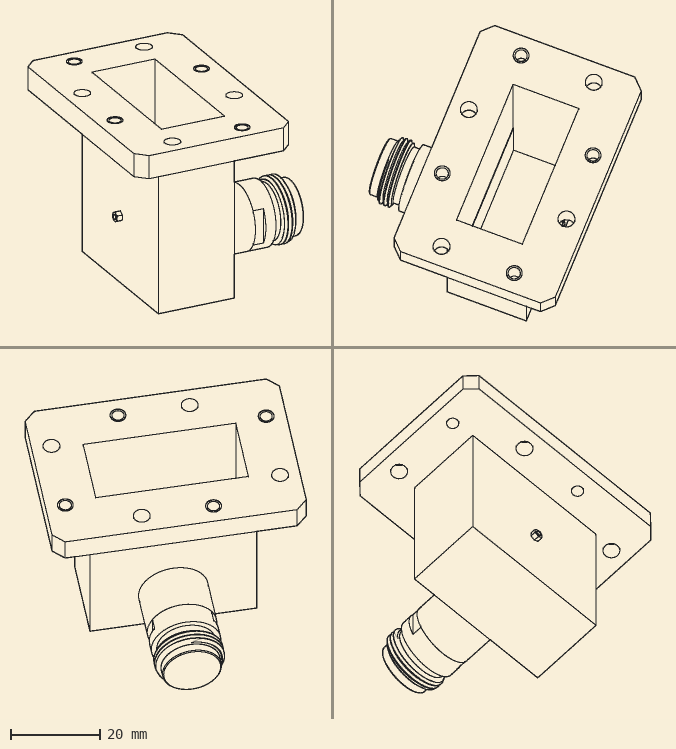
import cadquery as cq
import math


flange_x = 57.95
flange_y = 38.8
flange_thickness = 5.7
flange_corner_chamfer = 2.55
housing_height = 44.45
cavity_x = 34.75
cavity_y = 15.8
wall = 1.6
block_x = cavity_x + 2 * wall
block_y = cavity_y + 2 * wall
cavity_depth = housing_height - wall
ledge_projection = 0.1
ledge_height = 14.5

side_hole_x = 24.45
side_hole_y = 8.75
end_hole_x = 8.15
end_hole_y = 14.95
plain_hole_diameter = 3.75
tapped_hole_diameter = 2.7
counterbore_diameter = 3.55
counterbore_depth = 0.1

connector_z = -housing_height + 10.1
connector_diameter = 15.9
barrel_diameter = 13.45
sleeve_start_y = block_y / 2
sleeve_end_y = 20.4
collar_end_y = 25.55
connector_length = 13.8
connector_end_y = flange_y / 2 + connector_length
flat_width = 2.6
barrel_chamfer = 0.25

thread_start_y = 27.35
thread_end_y = 31.2
thread_pitch = 1.05
thread_depth = 0.8
thread_end_chamfer = 0.7
thread_end_step = 0.05
groove_y_at_plus_x = 30.2
crest_width = 0.2
groove_overshoot = 0.08

screw_z = -housing_height + 16.45
screw_across_flats = 2.15
screw_head_length = 1.4
screw_corner_chamfer = 0.25
tip_length = 0.4
tip_diameter = 1.2
tip_chamfer = 0.35


def cylinder_along_y(diameter, start_y, end_y):
    """Cylinder on the connector axis between two Y positions."""
    return (
        cq.Workplane("XZ", origin=(0, start_y, connector_z))
        .circle(diameter / 2)
        .extrude(start_y - end_y)
    )


def make_housing():
    flange = (
        cq.Workplane("XY")
        .rect(flange_x, flange_y)
        .extrude(-flange_thickness)
        .edges("|Z")
        .chamfer(flange_corner_chamfer)
    )
    block = cq.Workplane("XY").rect(block_x, block_y).extrude(-housing_height)
    cavity = cq.Workplane("XY").rect(cavity_x, cavity_y).extrude(-cavity_depth)
    ledge = (
        cq.Workplane("XY", origin=(0, cavity_y / 2 - ledge_projection, -cavity_depth))
        .box(cavity_x, ledge_projection, ledge_height, centered=(True, False, False))
    )
    tapped_points = [
        (side_hole_x, side_hole_y),
        (-end_hole_x, end_hole_y),
        (-side_hole_x, -side_hole_y),
        (end_hole_x, -end_hole_y),
    ]
    plain_points = [(-x, y) for x, y in tapped_points]
    plain_holes = (
        cq.Workplane("XY")
        .pushPoints(plain_points)
        .circle(plain_hole_diameter / 2)
        .extrude(-flange_thickness)
    )
    body = flange.union(block).cut(cavity.cut(ledge)).cut(plain_holes)
    return (
        body.faces(">Z")
        .workplane(origin=(0, 0, 0))
        .pushPoints(tapped_points)
        .cboreHole(tapped_hole_diameter, counterbore_diameter, counterbore_depth, flange_thickness)
    )


def make_sleeve():
    return cylinder_along_y(connector_diameter, sleeve_start_y, sleeve_end_y)


def make_thread():
    """Right-hand V-thread, cut along Z from its start at Z = 0 and then turned onto the connector axis."""
    major_radius = connector_diameter / 2
    end_cone_height = major_radius - barrel_diameter / 2 - thread_end_step
    blank = (
        cq.Workplane("XY")
        .circle(major_radius)
        .extrude(thread_end_y - thread_start_y)
        .faces("<Z or >Z")
        .edges()
        .chamfer(thread_end_chamfer, end_cone_height)
    )
    half_mouth = (thread_pitch - crest_width) / 2
    half_outer = half_mouth * (1 + groove_overshoot / thread_depth)
    turns_before = math.ceil((groove_y_at_plus_x - thread_start_y) / thread_pitch) + 1
    turns_after = math.ceil((thread_end_y - groove_y_at_plus_x) / thread_pitch) + 1
    helix_length = (turns_before + turns_after) * thread_pitch
    helix = cq.Wire.makeHelix(thread_pitch, helix_length, major_radius)
    groove_start_z = groove_y_at_plus_x - thread_start_y - turns_before * thread_pitch
    groove = (
        cq.Workplane("XZ")
        .moveTo(major_radius - thread_depth, 0)
        .lineTo(major_radius + groove_overshoot, half_outer)
        .lineTo(major_radius + groove_overshoot, -half_outer)
        .close()
        .sweep(cq.Workplane(helix), isFrenet=True)
        .translate((0, 0, groove_start_z))
    )
    thread = blank.cut(groove)
    return thread.rotate((0, 0, 0), (1, 0, 0), -90).translate((0, thread_start_y, connector_z))


def make_connector():
    collar = cylinder_along_y(connector_diameter, sleeve_end_y, collar_end_y)
    flats_center = cq.Workplane("XY", origin=(0, sleeve_end_y + flat_width / 2, connector_z))
    around_collar = flats_center.box(2 * connector_diameter, flat_width, connector_diameter)
    between_flats = flats_center.box(barrel_diameter, flat_width, connector_diameter)
    flat_tool = around_collar.cut(between_flats)
    barrel = (
        cylinder_along_y(barrel_diameter, sleeve_end_y, connector_end_y)
        .faces(">Y")
        .chamfer(barrel_chamfer)
    )
    return collar.cut(flat_tool).union(barrel).union(make_thread())


def make_screw():
    base_y = -block_y / 2
    across_corners = screw_across_flats / math.cos(math.pi / 6)
    head = (
        cq.Workplane("XZ", origin=(0, base_y, screw_z))
        .transformed(rotate=(0, 0, 90))
        .polygon(6, across_corners)
        .extrude(screw_head_length)
    )
    corner_trim = (across_corners - screw_across_flats) / 2
    envelope = (
        cq.Workplane("XZ", origin=(0, base_y, screw_z))
        .circle(across_corners / 2)
        .extrude(screw_head_length)
        .faces("<Y")
        .edges()
        .chamfer(screw_corner_chamfer, corner_trim)
    )
    tip = (
        cq.Workplane("XZ", origin=(0, base_y - screw_head_length, screw_z))
        .circle(tip_diameter / 2)
        .extrude(tip_length)
        .faces("<Y")
        .edges()
        .chamfer(tip_chamfer)
    )
    return head.intersect(envelope).union(tip)


housing = make_housing()
sleeve = make_sleeve()
connector = make_connector()
screw = make_screw()

result = cq.Compound.makeCompound([housing.val(), sleeve.val(), connector.val(), screw.val()])